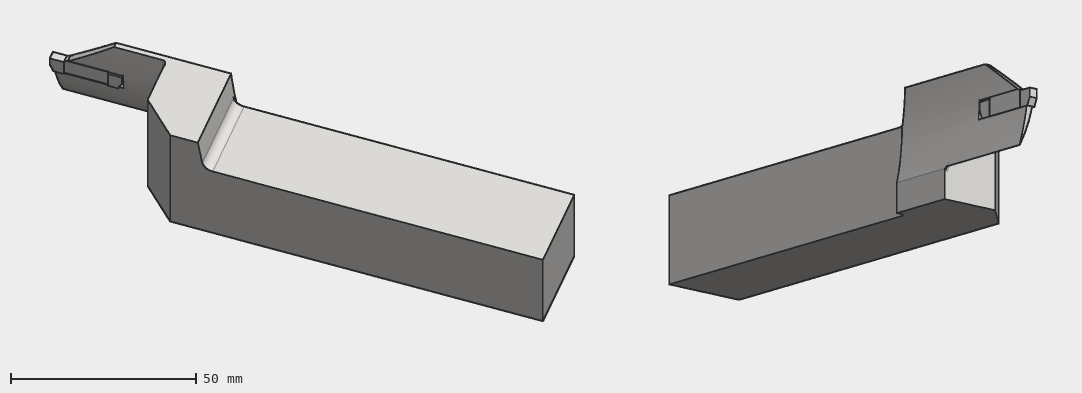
import cadquery as cq

LENGTH = 150.0
SHANK_WIDTH = 25.0
SHANK_HEIGHT = 24.9
HEAD_WIDTH = 28.0
HEAD_HEIGHT = 35.0

HEAD_FRONT = 33.0
HEAD_REAR_TOP = 51.0
HEAD_REAR = 52.6
HEAD_CHAMFER = 10.0
STEP_RADIUS = 3.0
SIDE_STEP_RADIUS = 1.8

MARGIN = 0.3

BLADE_BOTTOM = 9.0
BLADE_HEEL = 2.2
BLADE_CREST = 18.0
JAW_TIP = 5.1
BLADE_MID_Z = 26.0
BLADE_FRONT_Y = 23.8
BLADE_FRONT_RADIUS = 37.5
BLADE_BACK_Y = 26.1
BLADE_BACK_RADIUS = 78.0
ROOT_RADIUS = 1.0

SEAT_FLOOR = 20.1
SEAT_ROOF = 25.5
SEAT_END = 21.0
SEAT_LIP = 1.2
INSERT_TOP = 24.9
INSERT_FLANK_Z = 22.4
INSERT_LENGTH = 20.7
INSERT_FLANK_RUN = 1.0
INSERT_END_LENGTH = 4.0
INSERT_END_FRONT_Y = 23.7
INSERT_END_WIDTH = 2.5
WAIST_FRONT_Y = 24.0
WAIST_WIDTH = 2.1


def along_y(points, start_y, width):
    """Extrude an XZ outline toward +Y."""
    plane = cq.Workplane("XZ", origin=(0, start_y, 0))
    return plane.polyline(points).close().extrude(-width)


def cylinder_along_x(surface_y, radius):
    """Cylinder along X whose most negative Y line lies at surface_y."""
    plane = cq.Workplane("YZ")
    return plane.center(surface_y + radius, BLADE_MID_Z).circle(radius).extrude(LENGTH)


def make_shank():
    start = cq.Workplane("XY", origin=(HEAD_REAR, 0, 0))
    return start.box(LENGTH - HEAD_REAR, SHANK_WIDTH, SHANK_HEIGHT, centered=False)


def make_head():
    profile = [
        (HEAD_FRONT, 0),
        (HEAD_REAR, 0),
        (HEAD_REAR, SHANK_HEIGHT),
        (HEAD_REAR_TOP, HEAD_HEIGHT),
        (HEAD_FRONT, HEAD_HEIGHT),
    ]
    head = along_y(profile, 0, HEAD_WIDTH)
    return head.edges("|Z and <X and <Y").chamfer(HEAD_CHAMFER)


def step_box():
    """Selection box around the foot of the step from the head down to the shank."""
    return cq.selectors.BoxSelector(
        (HEAD_REAR - MARGIN, -MARGIN, SHANK_HEIGHT - MARGIN),
        (HEAD_REAR + MARGIN, SHANK_WIDTH + MARGIN, SHANK_HEIGHT + MARGIN),
    )


def side_step_box():
    """Selection box around the upright corner where the head widens past the shank."""
    return cq.selectors.BoxSelector(
        (HEAD_REAR - MARGIN, SHANK_WIDTH - MARGIN, -MARGIN),
        (HEAD_REAR + MARGIN, SHANK_WIDTH + MARGIN, SHANK_HEIGHT - MARGIN),
    )


def make_blade():
    outline = [
        (BLADE_HEEL, BLADE_BOTTOM),
        (HEAD_FRONT + ROOT_RADIUS, BLADE_BOTTOM),
        (HEAD_FRONT + ROOT_RADIUS, HEAD_HEIGHT),
        (BLADE_CREST, HEAD_HEIGHT),
        (JAW_TIP, SEAT_ROOF),
        (SEAT_LIP, SEAT_FLOOR),
    ]
    slab = along_y(outline, 0, HEAD_WIDTH)
    return slab.intersect(cylinder_along_x(BLADE_FRONT_Y, BLADE_FRONT_RADIUS))


def make_seat():
    profile = [(0, SEAT_FLOOR), (SEAT_END, SEAT_FLOOR), (SEAT_END, SEAT_ROOF), (0, SEAT_ROOF)]
    return along_y(profile, 0, HEAD_WIDTH)


def root_box():
    """Selection box around the edges where the blade's front and bottom leave the head."""
    return cq.selectors.BoxSelector(
        (HEAD_FRONT - MARGIN, BLADE_FRONT_Y - MARGIN, BLADE_BOTTOM - MARGIN),
        (HEAD_FRONT + MARGIN, HEAD_WIDTH + MARGIN, HEAD_HEIGHT),
    )


def make_holder():
    body = make_shank().union(make_head())
    body = body.edges(step_box()).fillet(STEP_RADIUS)
    body = body.edges(side_step_box()).fillet(SIDE_STEP_RADIUS)
    body = body.union(make_blade())
    body = body.edges(root_box()).fillet(ROOT_RADIUS)

    relief_bottom = cq.Workplane("XY").box(LENGTH, HEAD_WIDTH, BLADE_BOTTOM - ROOT_RADIUS, centered=False)
    relief = cylinder_along_x(BLADE_BACK_Y, BLADE_BACK_RADIUS).cut(relief_bottom)
    return body.cut(relief).cut(make_seat())


def make_insert():
    front_end = [
        (0, INSERT_TOP),
        (0, INSERT_FLANK_Z),
        (INSERT_FLANK_RUN, SEAT_FLOOR),
        (INSERT_END_LENGTH, SEAT_FLOOR),
        (INSERT_END_LENGTH, INSERT_TOP),
    ]
    rear_end = [(INSERT_LENGTH - x, z) for x, z in front_end]
    waist_rear = INSERT_LENGTH - INSERT_END_LENGTH
    waist = [
        (INSERT_END_LENGTH, SEAT_FLOOR),
        (waist_rear, SEAT_FLOOR),
        (waist_rear, SEAT_ROOF),
        (JAW_TIP, SEAT_ROOF),
        (INSERT_END_LENGTH, INSERT_TOP),
    ]
    body = along_y(waist, WAIST_FRONT_Y, WAIST_WIDTH)
    for end in (front_end, rear_end):
        body = body.union(along_y(end, INSERT_END_FRONT_Y, INSERT_END_WIDTH))
    return body


holder = make_holder()
insert = make_insert()
result = cq.Compound.makeCompound([holder.val(), insert.val()])